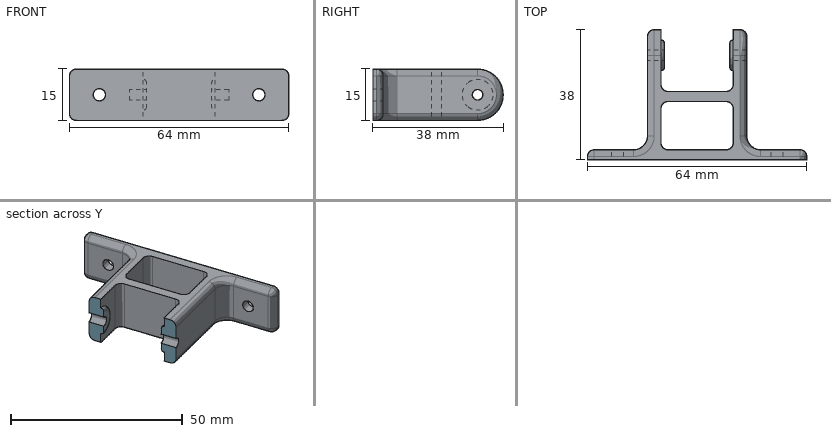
import cadquery as cq

plate_length = 64.0
height = 15.0
plate_thickness = 3.0
plate_corner_radius = 2.0
mounting_hole_diameter = 3.5
mounting_hole_spacing = 46.5

arm_reach = 38.0
arm_gap = 21.0
arm_thickness = 4.0
arm_root_radius = 4.0
arm_width = arm_gap + 2 * arm_thickness
arm_end_radius = height / 2
pivot_y = arm_reach - arm_end_radius
pivot_hole_diameter = 3.0

web_outer_y = 20.0
web_thickness = 3.0
opening_corner_radius = 2.0

pad_diameter = 9.0
pad_thickness = 1.0
pad_edge_radius = pad_thickness
pad_root_depth = arm_thickness / 2

outer_edge_radius = 2.0


def base_plate():
    """Flat plate with rounded corners."""
    plate = cq.Workplane("XY").box(plate_length, plate_thickness, height, centered=(True, False, True))
    return plate.edges("|Y").fillet(plate_corner_radius)


def arm_block():
    """Round-ended block, as wide as both arms and the gap between them."""
    return (
        cq.Workplane("YZ")
        .workplane(offset=-arm_width / 2)
        .moveTo(0, -height / 2)
        .lineTo(pivot_y, -height / 2)
        .threePointArc((arm_reach, 0), (pivot_y, height / 2))
        .lineTo(0, height / 2)
        .close()
        .extrude(arm_width)
    )


def round_outer_sides(body):
    """Blend the arms into the plate, then round the continuous rim on each side."""
    for side in (-1, 1):
        arm_face_x = side * arm_width / 2
        root_corner = cq.selectors.NearestToPointSelector((arm_face_x, plate_thickness, 0))
        body = body.edges("|Z").edges(root_corner).fillet(arm_root_radius)
    for side in (-1, 1):
        arm_face_x = side * arm_width / 2
        arm_rim = cq.selectors.NearestToPointSelector((arm_face_x, pivot_y / 2, height / 2))
        body = body.edges("|Y").edges(arm_rim).fillet(outer_edge_radius)
    return body


def opening_between_arms(start_y, end_y, rounded_corners):
    """Full-height cutter between the arms, rounded at the selected upright corners."""
    opening = cq.Workplane("XY").box(arm_gap, end_y - start_y, height, centered=(True, False, True))
    opening = opening.translate((0, start_y, 0))
    return opening.edges(rounded_corners).fillet(opening_corner_radius)


def pivot_pad(side):
    """Round pad rooted in one arm, its rim rounded down to the inner arm face."""
    root_x = side * (arm_gap / 2 + pad_root_depth)
    pad = cq.Workplane("YZ").circle(pad_diameter / 2).extrude(-side * (pad_root_depth + pad_thickness))
    free_face = "<X" if side > 0 else ">X"
    pad = pad.faces(free_face).edges().fillet(pad_edge_radius)
    return pad.translate((root_x, pivot_y, 0))


def mounting_hole(side):
    """Cutter for one screw hole through the plate."""
    hole = cq.Workplane("XZ").circle(mounting_hole_diameter / 2).extrude(-plate_thickness)
    return hole.translate((side * mounting_hole_spacing / 2, 0, 0))


def pivot_hole():
    """Cutter for the pivot bore through both arms and pads."""
    hole = cq.Workplane("YZ").circle(pivot_hole_diameter / 2).extrude(arm_width / 2, both=True)
    return hole.translate((0, pivot_y, 0))


bracket = round_outer_sides(base_plate().union(arm_block()))
bracket = bracket.cut(opening_between_arms(plate_thickness, web_outer_y - web_thickness, "|Z"))
bracket = bracket.cut(opening_between_arms(web_outer_y, arm_reach, "|Z and <Y"))
for arm_side in (-1, 1):
    bracket = bracket.union(pivot_pad(arm_side))
    bracket = bracket.cut(mounting_hole(arm_side))

result = bracket.cut(pivot_hole())